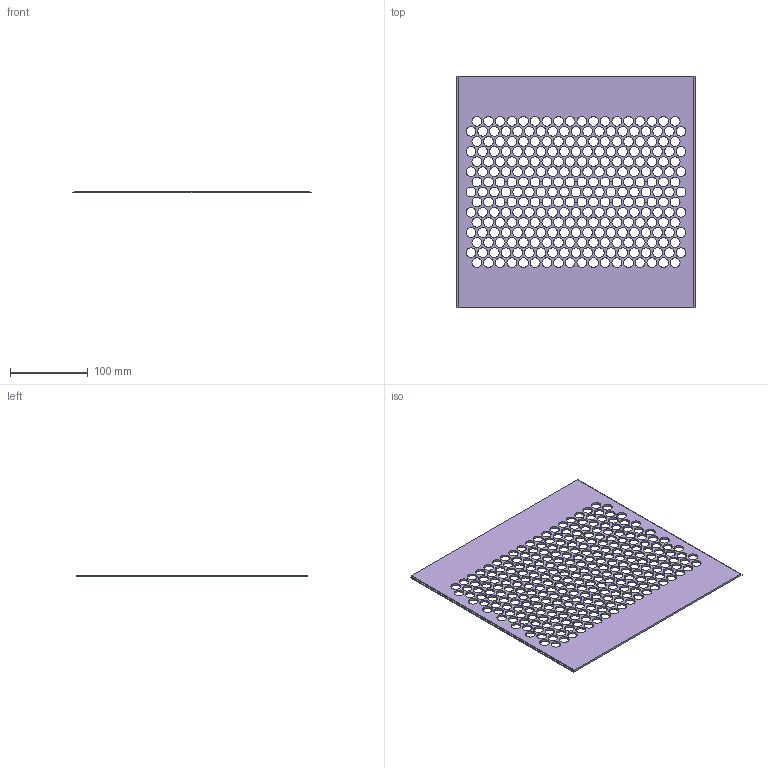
import cadquery as cq

length_x = 306.2
width_y = 297.5
thickness = 2.5

lip_width = 2.0
lip_thickness = 1.2

hole_diameter = 12.5
hole_pitch = 15.0
row_pitch = 13.0
row_count = 15
short_row_holes = 18
long_row_holes = short_row_holes + 1


def centred_positions(count, pitch):
    """Evenly spaced positions, symmetric about zero."""
    return [(i - (count - 1) / 2) * pitch for i in range(count)]


def stepped_plate():
    """Full-size thin sheet with the narrower thick body on it."""
    sheet = cq.Workplane("XY").box(length_x, width_y, lip_thickness, centered=(True, True, False))
    body_length = length_x - 2 * lip_width
    body = cq.Workplane("XY").box(body_length, width_y, thickness, centered=(True, True, False))
    return sheet.union(body)


def hole_centres():
    """Short and long rows alternate, starting and ending with a short row."""
    centres = []
    for row, y in enumerate(centred_positions(row_count, row_pitch)):
        holes_in_row = short_row_holes if row % 2 == 0 else long_row_holes
        for x in centred_positions(holes_in_row, hole_pitch):
            centres.append((x, y))
    return centres


def hole_field():
    """Cylinders that pierce the plate from bottom to top."""
    return cq.Workplane("XY").pushPoints(hole_centres()).circle(hole_diameter / 2).extrude(thickness)


result = stepped_plate().cut(hole_field())